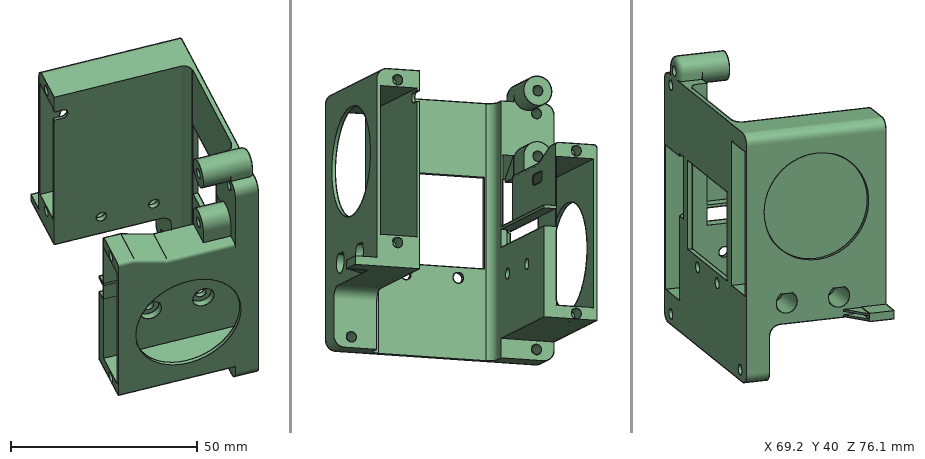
import cadquery as cq

TOTAL_HEIGHT = 76.1
BODY_WIDTH = 63.0
BODY_HEIGHT = 70.25
DEPTH = 40.0
FLANGE_THICKNESS = 6.6
CORNER_RADIUS = 3.0
FLANGE_FRONT = DEPTH - FLANGE_THICKNESS

CHANNEL_LEFT = 12.25
CHANNEL_WIDTH = 35.6
CHANNEL_RIGHT = CHANNEL_LEFT + CHANNEL_WIDTH
CHANNEL_RADIUS = 2.4
CHANNEL_MIDDLE = CHANNEL_LEFT + CHANNEL_WIDTH / 2
WEB_THICKNESS = 1.4
WEB_RECESS = 0.15
WINDOW_WIDTH = 30.0
WINDOW_BOTTOM = 25.0
WINDOW_TOP = 50.1

SCREW_DIAMETER = 3.0
SMALL_SCREW_DIAMETER = 2.8
SCREW_SPACING = 15.0
SCREW_HEIGHT = 22.15
FRONT_SCREW_DEPTH = 5.0
FRONT_SCREW_OFFSET = 1.9
FRONT_SCREW_INSET = 5.9
SIDE_SCREWS_Y = 21.0
COUNTERBORE_DIAMETER = 6.0
COUNTERBORE_FLOOR = 1.5
COUNTERBORE_SKIN = 0.15
CORNER_SCREWS = [(5.0, 3.0), (58.0, 3.0), (58.0, 67.4)]

POCKET_HEIGHT = 40.6
FAN_OPENING = 30.0
FAN_OPENING_GAP = 2.2
CABLE_HOLE_LENGTH = 7.8
CABLE_HOLE_HEIGHT = 3.0

LEFT_BOTTOM = 16.1
LEFT_POCKET_X = 1.1
LEFT_POCKET_WIDTH = 10.35
LEFT_POCKET_BOTTOM = 24.8
LEFT_POCKET_TOP = LEFT_POCKET_BOTTOM + POCKET_HEIGHT
LEFT_CABLE_HOLE_Z = 63.3
TAB_REACH = 6.2
TAB_THICKNESS = 2.35
TAB_LENGTH = 7.1
GUSSET_LENGTH = 5.1
GUSSET_INSET = 0.15
GUSSET_RIB = 0.5

RIGHT_LEFT = 51.1
RIGHT_BOTTOM = 5.3
RIGHT_TOP = 53.3
SADDLE_TOP = 50.2
SADDLE_FRONT = 14.15
CREST_LENGTH = 4.8
RIGHT_EDGE_RADIUS = 1.0
RIGHT_POCKET_X = 51.4
RIGHT_POCKET_WIDTH = 10.6
RIGHT_POCKET_BOTTOM = 8.75
PLATE_TOP = 30.2
RAIL_BOTTOM = 35.1
RAIL_TOP = 35.9
RIGHT_CABLE_HOLE_Y = 14.1
RIGHT_CABLE_HOLE_Z = 45.9
SIDE_GAP_FRONT = 13.5
GROOVE_LEFT = 49.5
GROOVE_RADIUS = 2.5
GROOVE_DROP = 2.5
DUCT_LEFT = 48.3
DUCT_REAR_BOTTOM = 32.6
DUCT_MOUTH_TOP = 55.5

BOSS_DIAMETER = 8.0
BOSS_RADIUS = BOSS_DIAMETER / 2
BOSS_X = 55.5
BOSS_FRONT = 25.6
BOSS_EDGE_RADIUS = 1.45
UPPER_BOSS_Z = TOTAL_HEIGHT - BOSS_RADIUS
LOWER_BOSS_Z = 54.2

PICK_MARGIN = 0.75


def block(x_range, y_range, z_range):
    """Box between the given limits."""
    size = [high - low for low, high in (x_range, y_range, z_range)]
    corner = (x_range[0], y_range[0], z_range[0])
    return cq.Workplane("XY").box(*size, centered=False).translate(corner)


def rod_along_y(diameter, x, z, y_start, y_end):
    """Cylinder parallel to Y."""
    plane = cq.Workplane("XZ", origin=(x, y_start, z))
    return plane.circle(diameter / 2).extrude(y_start - y_end)


def rod_along_x(diameter, y, z, x_start, x_end):
    """Cylinder parallel to X."""
    plane = cq.Workplane("YZ", origin=(x_start, y, z))
    return plane.circle(diameter / 2).extrude(x_end - x_start)


def cable_hole(y, z, x_start, x_end):
    """Rounded slot, long in Y, cutting along X."""
    plane = cq.Workplane("YZ", origin=(x_start, y, z))
    return plane.slot2D(CABLE_HOLE_LENGTH, CABLE_HOLE_HEIGHT).extrude(x_end - x_start)


def make_frame():
    """Back flange and left column, with a channel that leaves a thin web, thinnest between its corners."""
    flange = block((0, BODY_WIDTH), (FLANGE_FRONT, DEPTH), (0, BODY_HEIGHT))
    column = block((0, CHANNEL_LEFT), (0, DEPTH), (LEFT_BOTTOM, BODY_HEIGHT))
    frame = flange.union(column)
    inner_corner = cq.selectors.BoxSelector(
        (-PICK_MARGIN, FLANGE_FRONT - PICK_MARGIN, LEFT_BOTTOM - PICK_MARGIN),
        (CHANNEL_LEFT + PICK_MARGIN, FLANGE_FRONT + PICK_MARGIN, LEFT_BOTTOM + PICK_MARGIN),
    )
    frame = frame.edges(inner_corner).edges("|X").fillet(CORNER_RADIUS)
    rounded_body = block((0, BODY_WIDTH), (0, DEPTH), (0, BODY_HEIGHT)).edges("|Y").fillet(CORNER_RADIUS)
    web_front = DEPTH - WEB_THICKNESS
    channel = block((CHANNEL_LEFT, CHANNEL_RIGHT), (0, web_front - WEB_RECESS), (0, BODY_HEIGHT))
    channel = channel.edges("|Z and >Y").fillet(CHANNEL_RADIUS)
    recess_x = (CHANNEL_LEFT + CHANNEL_RADIUS, CHANNEL_RIGHT - CHANNEL_RADIUS)
    channel = channel.union(block(recess_x, (0, web_front), (0, BODY_HEIGHT)))
    return frame.intersect(rounded_body).cut(channel)


def make_tab():
    """Flat tab beside the left column, braced from behind by a sloping gusset of two thin ribs."""
    tab_top = LEFT_BOTTOM + TAB_THICKNESS
    tab = block((-TAB_REACH, LEFT_POCKET_X), (0, TAB_LENGTH), (LEFT_BOTTOM, tab_top))
    rib = (
        cq.Workplane("XY")
        .moveTo(-TAB_REACH, TAB_LENGTH)
        .lineTo(0, TAB_LENGTH)
        .lineTo(0, TAB_LENGTH + GUSSET_LENGTH)
        .close()
        .extrude(GUSSET_RIB)
    )
    for rib_bottom in (LEFT_BOTTOM + GUSSET_INSET, tab_top - GUSSET_INSET - GUSSET_RIB):
        tab = tab.union(rib.translate((0, 0, rib_bottom)))
    return tab


def make_right_column():
    """Fan housing with a saddle-shaped top, plus the mounting plate and the rail on its inner side."""
    housing = (
        cq.Workplane("YZ", origin=(RIGHT_LEFT, 0, 0))
        .moveTo(0, RIGHT_BOTTOM)
        .lineTo(DEPTH, RIGHT_BOTTOM)
        .lineTo(DEPTH, SADDLE_TOP)
        .lineTo(SADDLE_FRONT, SADDLE_TOP)
        .lineTo(CREST_LENGTH, RIGHT_TOP)
        .lineTo(0, RIGHT_TOP)
        .close()
        .extrude(BODY_WIDTH - RIGHT_LEFT)
    )
    top_sides = cq.selectors.BoxSelector(
        (RIGHT_LEFT - PICK_MARGIN, -PICK_MARGIN, SADDLE_TOP - PICK_MARGIN),
        (BODY_WIDTH + PICK_MARGIN, DEPTH + PICK_MARGIN, RIGHT_TOP + PICK_MARGIN),
    )
    housing = housing.edges(top_sides).edges("not |X").fillet(RIGHT_EDGE_RADIUS)
    inner_side = (CHANNEL_RIGHT, RIGHT_POCKET_X)
    plate = block(inner_side, (0, DEPTH), (RIGHT_BOTTOM, PLATE_TOP))
    rail = block(inner_side, (0, DEPTH), (RAIL_BOTTOM, RAIL_TOP))
    return housing.union(plate).union(rail)


def make_bosses():
    """Upper boss rounded at the back and lower boss standing on the right column."""
    sides = (BOSS_X - BOSS_RADIUS, BOSS_X + BOSS_RADIUS)
    upper = rod_along_y(BOSS_DIAMETER, BOSS_X, UPPER_BOSS_Z, BOSS_FRONT, DEPTH)
    upper_foot = block(sides, (FLANGE_FRONT, DEPTH), (UPPER_BOSS_Z - BOSS_DIAMETER, UPPER_BOSS_Z))
    upper = upper.union(upper_foot).faces(">Y").edges().fillet(BOSS_EDGE_RADIUS)
    lower = rod_along_y(BOSS_DIAMETER, BOSS_X, LOWER_BOSS_Z, BOSS_FRONT, FLANGE_FRONT)
    lower_foot = block(sides, (BOSS_FRONT, FLANGE_FRONT), (SADDLE_TOP - RIGHT_EDGE_RADIUS, LOWER_BOSS_Z))
    return upper.union(lower).union(lower_foot)


def cut_fan_pocket(part, x, width, bottom, screw_x):
    """Pocket open at the front and the back, with a screw hole above and below it."""
    top = bottom + POCKET_HEIGHT
    part = part.cut(block((x, x + width), (0, DEPTH), (bottom, top)))
    for z in (bottom - FRONT_SCREW_OFFSET, top + FRONT_SCREW_OFFSET):
        part = part.cut(rod_along_y(SMALL_SCREW_DIAMETER, screw_x, z, 0, FRONT_SCREW_DEPTH))
    return part


def cut_fan_openings(part):
    """Round air openings in the outer walls, set towards opposite ends of the pockets."""
    reach = FAN_OPENING_GAP + FAN_OPENING / 2
    left_z = LEFT_POCKET_TOP - reach
    right_z = RIGHT_POCKET_BOTTOM + reach
    part = part.cut(rod_along_x(FAN_OPENING, DEPTH / 2, left_z, 0, LEFT_POCKET_X))
    right_wall = RIGHT_POCKET_X + RIGHT_POCKET_WIDTH
    return part.cut(rod_along_x(FAN_OPENING, DEPTH / 2, right_z, right_wall, BODY_WIDTH))


def cut_cable_holes(part):
    """Rounded slots in the inner pocket walls; the left one is open at the front."""
    left_wall = LEFT_POCKET_X + LEFT_POCKET_WIDTH
    part = part.cut(cable_hole(0, LEFT_CABLE_HOLE_Z, left_wall, CHANNEL_LEFT))
    return part.cut(cable_hole(RIGHT_CABLE_HOLE_Y, RIGHT_CABLE_HOLE_Z, RIGHT_LEFT, RIGHT_POCKET_X))


def cut_side_gap(part):
    """Gap between plate and rail into the right pocket, with a rounded groove in the flange behind it."""
    wall = (RIGHT_LEFT, RIGHT_POCKET_X)
    part = part.cut(block(wall, (SIDE_GAP_FRONT, FLANGE_FRONT), (PLATE_TOP, RAIL_BOTTOM)))
    groove_y = (FLANGE_FRONT, FLANGE_FRONT + GROOVE_RADIUS)
    groove_z = (PLATE_TOP - GROOVE_DROP, RAIL_BOTTOM)
    groove = block((GROOVE_LEFT, GROOVE_LEFT + GROOVE_RADIUS), groove_y, groove_z)
    rounding = (
        cq.Workplane("XY", origin=(GROOVE_LEFT + GROOVE_RADIUS, FLANGE_FRONT, groove_z[0]))
        .circle(GROOVE_RADIUS)
        .extrude(groove_z[1] - groove_z[0])
    )
    return part.cut(groove.intersect(rounding))


def cut_duct(part):
    """Opening through the flange above the rail, with a floor and a ceiling that fall towards the back."""
    duct = (
        cq.Workplane("YZ", origin=(DUCT_LEFT, 0, 0))
        .moveTo(FLANGE_FRONT, RAIL_TOP)
        .lineTo(DEPTH, DUCT_REAR_BOTTOM)
        .lineTo(DEPTH, WINDOW_TOP)
        .lineTo(FLANGE_FRONT, DUCT_MOUTH_TOP)
        .close()
        .extrude(RIGHT_POCKET_X - DUCT_LEFT)
    )
    return part.cut(duct)


def cut_web(part):
    """Window and two screw holes in the thin web behind the channel."""
    window_x = (CHANNEL_MIDDLE - WINDOW_WIDTH / 2, CHANNEL_MIDDLE + WINDOW_WIDTH / 2)
    part = part.cut(block(window_x, (FLANGE_FRONT, DEPTH), (WINDOW_BOTTOM, WINDOW_TOP)))
    for side in (-1, 1):
        x = CHANNEL_MIDDLE + side * SCREW_SPACING / 2
        part = part.cut(rod_along_y(SCREW_DIAMETER, x, SCREW_HEIGHT, FLANGE_FRONT, DEPTH))
    return part


def cut_side_screws(part):
    """Cross screw holes in both columns; the left counterbores are flattened just below the pocket floor."""
    left_end = CHANNEL_LEFT - COUNTERBORE_FLOOR
    right_start = CHANNEL_RIGHT + COUNTERBORE_FLOOR
    below_pocket = block((0, left_end), (0, DEPTH), (0, LEFT_POCKET_BOTTOM - COUNTERBORE_SKIN))
    for side in (-1, 1):
        y = SIDE_SCREWS_Y + side * SCREW_SPACING / 2
        left_bore = rod_along_x(COUNTERBORE_DIAMETER, y, SCREW_HEIGHT, 0, left_end)
        right_bore = rod_along_x(COUNTERBORE_DIAMETER, y, SCREW_HEIGHT, right_start, RIGHT_POCKET_X)
        part = part.cut(left_bore.intersect(below_pocket)).cut(right_bore)
        part = part.cut(rod_along_x(SCREW_DIAMETER, y, SCREW_HEIGHT, left_end, right_start))
    return part


def cut_flange_and_boss_holes(part):
    """Corner screw holes in the flange, a through hole in the upper boss and a blind one in the lower."""
    for x, z in CORNER_SCREWS:
        part = part.cut(rod_along_y(SMALL_SCREW_DIAMETER, x, z, FLANGE_FRONT, DEPTH))
    part = part.cut(rod_along_y(SMALL_SCREW_DIAMETER, BOSS_X, UPPER_BOSS_Z, BOSS_FRONT, DEPTH))
    return part.cut(rod_along_y(SMALL_SCREW_DIAMETER, BOSS_X, LOWER_BOSS_Z, BOSS_FRONT, FLANGE_FRONT))


body = make_frame().union(make_tab()).union(make_right_column()).union(make_bosses())
body = cut_fan_pocket(body, LEFT_POCKET_X, LEFT_POCKET_WIDTH, LEFT_POCKET_BOTTOM, FRONT_SCREW_INSET)
right_screw_x = BODY_WIDTH - FRONT_SCREW_INSET
body = cut_fan_pocket(body, RIGHT_POCKET_X, RIGHT_POCKET_WIDTH, RIGHT_POCKET_BOTTOM, right_screw_x)
body = cut_fan_openings(body)
body = cut_cable_holes(body)
body = cut_side_gap(body)
body = cut_duct(body)
body = cut_web(body)
body = cut_side_screws(body)
result = cut_flange_and_boss_holes(body)